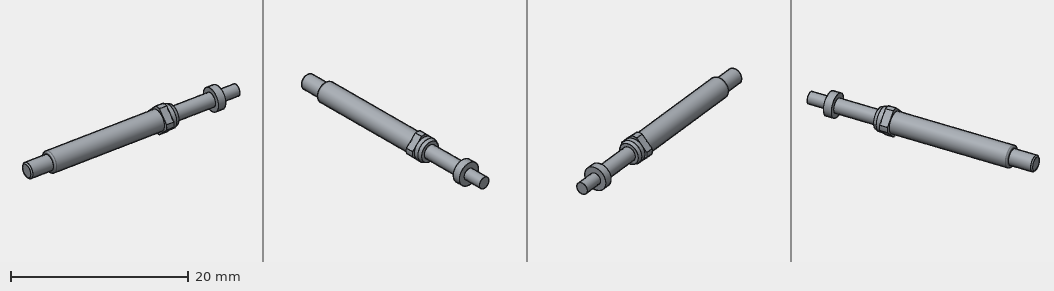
import cadquery as cq

pin_length = 3.0
body_length = 15.0
flange_length = 1.0
head_length = 1.0
collar_length = 1.0
tip_length = 2.48
overall_length = 28.8

pin_diameter = 2.0
body_diameter = 2.68
flange_diameter = 3.6
head_diameter = 3.0
shaft_diameter = 1.8
collar_diameter = 3.0
tip_diameter = 1.5

flange_across_flats = 3.0
pin_chamfer = 0.17
body_fillet = 0.2
head_taper_length = 0.43
head_taper_depth = 0.17

pin_end = -overall_length / 2
body_start = pin_end + pin_length
flange_start = body_start + body_length
head_start = flange_start + flange_length
shaft_start = head_start + head_length
tip_end = overall_length / 2
tip_start = tip_end - tip_length
collar_start = tip_start - collar_length


def cylinder(diameter, start, end):
    """Cylinder on the Y axis between two Y positions."""
    sketch = cq.Workplane("XZ", origin=(0, start, 0)).circle(diameter / 2)
    return sketch.extrude(start - end)


def make_pin():
    pin = cylinder(pin_diameter, pin_end, body_start)
    return pin.faces("<Y").chamfer(pin_chamfer)


def make_body():
    body = cylinder(body_diameter, body_start, flange_start)
    return body.faces("<Y").edges().fillet(body_fillet)


def make_head():
    """Head whose front end narrows in a short cone towards the shaft."""
    radius = head_diameter / 2
    profile = (
        cq.Workplane("XY")
        .moveTo(0, head_start)
        .lineTo(radius, head_start)
        .lineTo(radius, shaft_start - head_taper_length)
        .lineTo(radius - head_taper_depth, shaft_start)
        .lineTo(0, shaft_start)
        .close()
    )
    return profile.revolve(360, (0, 0, 0), (0, 1, 0))


def make_flange():
    """Round flange with four flats facing the diagonals of X and Z."""
    flange = cylinder(flange_diameter, head_start, flange_start)
    square = (
        cq.Workplane("XZ", origin=(0, flange_start, 0))
        .transformed(rotate=(0, 0, 45))
        .rect(flange_across_flats, flange_across_flats)
        .extrude(-flange_length)
    )
    return flange.intersect(square)


shaft = cylinder(shaft_diameter, shaft_start, collar_start)
collar = cylinder(collar_diameter, collar_start, tip_start)
tip = cylinder(tip_diameter, tip_start, tip_end)

result = make_pin()
for section in (make_body(), make_flange(), make_head(), shaft, collar, tip):
    result = result.union(section)